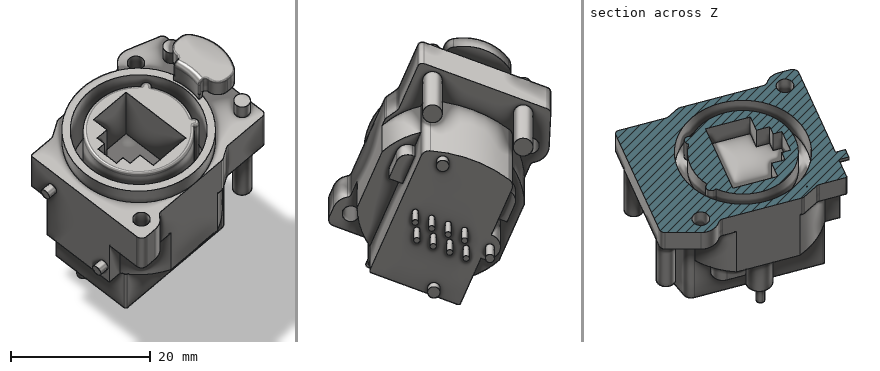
import cadquery as cq
import math


latch_top = 6.83
latch_bottom = 3.8
collar_top = 2.75
button_top = 2.5
flange_bottom = -7.15
body_bottom = -15.9
post_bottom = -18.3
tab_bottom = -19.38
block_bottom = -23.98
peg_bottom = -25.4
pin_bottom = -27.47

flange_front = -12.52
flange_back = 16.12
half_width = 10.98
ear_radius = 2.68
ear_x = 9.88
ear_y = 9.8
ear_hole_radius = 1.25
ear_blend = 0.75
back_left_tilt = math.radians(19.5)
back_left_round = 0.85
back_right_x = 9.78
back_right_round = 0.7
front_left_x = -9.4
front_left_round = 0.27
front_right_round = 1.03
waist_slope = math.radians(60)
waist_round = 1.03
right_waist_y = 5.95
left_waist_y = -5.3

collar_radius = half_width
collar_inner_radius = 9.78
plug_radius = 7.95
plug_round = 0.48
key_radius = 0.8
key_x = 4.65
socket_steps = [(5.9, -3.15), (3.25, -5.18), (1.82, -6.5)]
socket_back = 3.57

body_radius = 11.97
front_pad_half_width = 6.15
block_half_width = 7.0
block_front = -10.0
block_back = body_radius
block_back_radius = 20.58
block_front_round = 0.35
block_back_round = 1.3
tab_half_width = 9.12
tab_front = 2.75
tab_back = 7.37
tab_round = 1.75

button_x = 7.0
button_y = 14.1
button_radius = 1.2
post_radius = 1.4
front_peg_end = -14.03
front_peg_radius = 0.82
front_pegs = [(-5.08, -3.8), (5.08, -12.65)]
bottom_peg_radius = 0.9
bottom_pegs = [(-2.55, -8.9), (3.8, 10.12)]
column_x = -7.05
column_radius = 2.0
ground_pin_x = -7.58
ground_pin_radius = 0.65
contact_count = 8
contact_pitch = 1.27
contact_row_y = 1.27
contact_radius = 0.45

pad_half_width = 5.05
pad_back = 16.55
pad_back_radius = 7.9
pad_front = 11.18
pad_back_corner = 1.7
pad_front_corner = 1.95
pad_rim_round = 0.2
neck_half_width = 2.55
neck_blend = 0.5
neck_inner_radius = 10.15
neck_outer_radius = 10.87
neck_bend = 0.9


def cylinder(x, y, radius, bottom, top):
    return cq.Workplane("XY", origin=(x, y, bottom)).circle(radius).extrude(top - bottom)


def block(x_min, x_max, y_min, y_max, bottom, top):
    size = (x_max - x_min, y_max - y_min, top - bottom)
    return cq.Workplane("XY", origin=(x_min, y_min, bottom)).box(*size, centered=False)


def round_upright(solid, x, y, z, radius):
    """Fillet the vertical edge whose middle is nearest to the given point."""
    nearest = cq.selectors.NearestToPointSelector((x, y, z))
    return solid.edges("|Z").edges(nearest).fillet(radius)


def make_flange():
    height = -flange_bottom
    tangent_x = -ear_x - ear_radius * math.cos(back_left_tilt)
    tangent_y = ear_y + ear_radius * math.sin(back_left_tilt)
    back_left_x = tangent_x + (flange_back - tangent_y) * math.tan(back_left_tilt)
    right_step_y = right_waist_y + (half_width - back_right_x) * math.tan(waist_slope)
    left_step_y = left_waist_y - (half_width + front_left_x) * math.tan(waist_slope)
    outer_right = ear_x + ear_radius

    outline = [
        (back_left_x, flange_back),
        (back_right_x, flange_back),
        (back_right_x, right_step_y),
        (half_width, right_waist_y),
        (half_width, -ear_y),
        (outer_right, -ear_y),
        (outer_right, flange_front),
        (front_left_x, flange_front),
        (front_left_x, left_step_y),
        (-half_width, left_waist_y),
        (-half_width, ear_y),
        (-ear_x, ear_y),
        (tangent_x, tangent_y),
    ]
    flange = cq.Workplane("XY", origin=(0, 0, flange_bottom)).polyline(outline).close().extrude(height)
    for side in (-1, 1):
        flange = flange.union(cylinder(side * ear_x, -side * ear_y, ear_radius, flange_bottom, 0))
    flange = flange.clean()

    ear_meets_side = ear_y - math.sqrt(ear_radius**2 - (half_width - ear_x) ** 2)
    corners = [
        (back_left_x, flange_back, back_left_round),
        (back_right_x, flange_back, back_right_round),
        (back_right_x, right_step_y, waist_round),
        (half_width, right_waist_y, waist_round),
        (half_width, -ear_meets_side, ear_blend),
        (outer_right, flange_front, front_right_round),
        (front_left_x, flange_front, front_left_round),
        (front_left_x, left_step_y, waist_round),
        (-half_width, left_waist_y, waist_round),
        (-half_width, ear_meets_side, ear_blend),
    ]
    for x, y, radius in corners:
        flange = round_upright(flange, x, y, flange_bottom / 2, radius)
    return flange


def make_body():
    body = cylinder(0, 0, body_radius, body_bottom, flange_bottom)
    sides = block(-half_width, half_width, -body_radius, body_radius, body_bottom, flange_bottom)
    front_pad = block(
        -front_pad_half_width, front_pad_half_width, flange_front, 0, body_bottom, flange_bottom
    )
    return body.intersect(sides).union(front_pad)


def make_lower_block():
    corner_y = block_back - block_back_radius + math.sqrt(block_back_radius**2 - block_half_width**2)
    lower = (
        cq.Workplane("XY", origin=(0, 0, block_bottom))
        .moveTo(-block_half_width, block_front)
        .lineTo(block_half_width, block_front)
        .lineTo(block_half_width, corner_y)
        .threePointArc((0, block_back), (-block_half_width, corner_y))
        .close()
        .extrude(flange_bottom - block_bottom)
        .edges("|Z and <Y").fillet(block_front_round)
    )
    middle = (flange_bottom + block_bottom) / 2
    for side in (-1, 1):
        lower = round_upright(lower, side * block_half_width, corner_y, middle, block_back_round)
    front_half = block(-block_half_width, block_half_width, block_front, 0, body_bottom, flange_bottom)
    return lower.cut(front_half)


def make_side_tabs():
    tabs = block(-tab_half_width, tab_half_width, tab_front, tab_back, tab_bottom, body_bottom)
    return tabs.edges("|Z and >Y").fillet(tab_round)


def make_collar():
    return cylinder(0, 0, collar_radius, 0, collar_top)


def make_groove():
    """Space around the plug, which keeps the plug and its two keys standing."""
    plug = cylinder(0, 0, plug_radius, flange_bottom, collar_top)
    key_y = math.sqrt(plug_radius**2 - key_x**2)
    for side in (-1, 1):
        plug = plug.union(cylinder(side * key_x, key_y, key_radius, flange_bottom, collar_top))
    plug = plug.faces(">Z").edges().fillet(plug_round)
    return cylinder(0, 0, collar_inner_radius, flange_bottom, collar_top).cut(plug)


def make_socket():
    socket = None
    for half, front in socket_steps:
        step = block(-half, half, front, socket_back, flange_bottom, collar_top)
        socket = step if socket is None else socket.union(step)
    return socket


def make_latch():
    back_y = pad_back - pad_back_radius + math.sqrt(pad_back_radius**2 - pad_half_width**2)
    pad = (
        cq.Workplane("XY", origin=(0, 0, latch_bottom))
        .moveTo(-pad_half_width, pad_front)
        .lineTo(pad_half_width, pad_front)
        .lineTo(pad_half_width, back_y)
        .threePointArc((0, pad_back), (-pad_half_width, back_y))
        .close()
        .extrude(latch_top - latch_bottom)
        .edges("|Z").edges(">Y").fillet(pad_back_corner)
        .edges("|Z").edges("<Y").fillet(pad_front_corner)
    )
    bridge = block(-neck_half_width, neck_half_width, 0, pad_front, latch_bottom, latch_top)
    bridge = bridge.cut(cylinder(0, 0, neck_inner_radius, latch_bottom, latch_top))
    pad = pad.union(bridge)
    middle = (latch_bottom + latch_top) / 2
    for side in (-1, 1):
        pad = round_upright(pad, side * neck_half_width, pad_front, middle, neck_blend)
    bend_edge = cq.selectors.NearestToPointSelector((0, neck_inner_radius, latch_top))
    pad = pad.faces(">Z").edges(bend_edge).fillet(neck_bend)
    bend_end = cq.selectors.NearestToPointSelector((0, neck_inner_radius + neck_bend, latch_top))
    pad = pad.faces(">Z").edges(cq.selectors.InverseSelector(bend_end)).fillet(pad_rim_round)

    neck = block(-neck_half_width, neck_half_width, 0, pad_front, collar_top, latch_bottom)
    neck = neck.intersect(cylinder(0, 0, neck_outer_radius, collar_top, latch_bottom))
    neck = neck.cut(cylinder(0, 0, neck_inner_radius, collar_top, latch_bottom))
    return pad.union(neck)


def make_posts_and_pegs():
    parts = []
    for side in (-1, 1):
        parts.append(cylinder(side * button_x, button_y, button_radius, 0, button_top))
        parts.append(cylinder(side * button_x, button_y, post_radius, post_bottom, flange_bottom))
    for x, z in front_pegs:
        peg = cq.Workplane("XZ", origin=(x, flange_front, z)).circle(front_peg_radius)
        parts.append(peg.extrude(flange_front - front_peg_end))
    for x, y in bottom_pegs:
        parts.append(cylinder(x, y, bottom_peg_radius, peg_bottom, block_bottom))
    return parts


def make_pins():
    column = cylinder(column_x, 0, column_radius, block_bottom, body_bottom)
    pins = [column, cylinder(ground_pin_x, 0, ground_pin_radius, pin_bottom, block_bottom)]
    for i in range(contact_count):
        x = (i - (contact_count - 1) / 2) * contact_pitch
        y = contact_row_y if i % 2 else -contact_row_y
        pins.append(cylinder(x, y, contact_radius, pin_bottom, block_bottom))
    return pins


result = make_flange().union(make_body()).union(make_lower_block())
result = result.union(make_side_tabs()).union(make_collar())
result = result.cut(make_groove()).cut(make_socket())
for side in (-1, 1):
    result = result.cut(cylinder(side * ear_x, -side * ear_y, ear_hole_radius, flange_bottom, 0))
for part in [make_latch()] + make_posts_and_pegs() + make_pins():
    result = result.union(part)